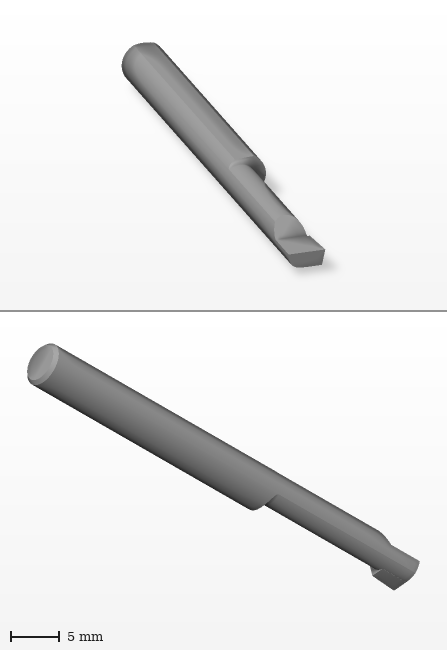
import cadquery as cq
import math

overall_length = 50.8
shank_diameter = 4.75
shank_radius = shank_diameter / 2
height_over_flat = 4.5
flat_z = height_over_flat - shank_radius
rear_chamfer = 0.4

shoulder_x = 30.75
neck_radius = 1.8
neck_center_y = -0.78
shoulder_fillet = 0.75

ramp_foot_x = 46.75
ramp_angle = 46
tip_start_x = 47.0
tip_start_y = 1.27
tip_corner_y = 1.6
end_skew_angle = 1
clearance_angle = 8

block_size = 4 * shank_diameter


def make_bar():
    """Full-length round bar with the rear chamfer and the top flat; it bounds every other feature."""
    bar = cq.Workplane("YZ").circle(shank_radius).extrude(overall_length)
    bar = bar.faces("<X").chamfer(rear_chamfer)
    above_flat = cq.Workplane("XY", origin=(0, 0, flat_z)).rect(2 * overall_length, shank_diameter)
    return bar.cut(above_flat.extrude(shank_radius))


def make_shank_envelope():
    """Oversize block covering the shank length; the round bar trims it."""
    block = cq.Workplane("YZ").rect(block_size, block_size)
    return block.extrude(shoulder_x)


def make_neck():
    """Neck cylinder with a concave blend that flares out to the shoulder."""
    blend_end_x = shoulder_x + shoulder_fillet
    blend_radius = neck_radius + shoulder_fillet
    arc_offset = shoulder_fillet * (1 - math.sqrt(0.5))
    return (
        cq.Workplane("XY", origin=(0, neck_center_y, 0))
        .moveTo(shoulder_x, 0)
        .lineTo(shoulder_x, blend_radius)
        .threePointArc((shoulder_x + arc_offset, neck_radius + arc_offset), (blend_end_x, neck_radius))
        .lineTo(overall_length, neck_radius)
        .lineTo(overall_length, 0)
        .close()
        .revolve(360, (0, 0, 0), (1, 0, 0))
    )


def make_tip():
    """Wedge widening towards the cutting corner, overlong in X so that the end cut finishes its nose."""
    flank_slope = (tip_corner_y - tip_start_y) / (overall_length - tip_start_x)
    overlong_x = overall_length + shank_radius
    overlong_y = tip_corner_y + flank_slope * shank_radius
    return (
        cq.Workplane("XY")
        .moveTo(tip_start_x, neck_center_y)
        .lineTo(tip_start_x, tip_start_y)
        .lineTo(overlong_x, overlong_y)
        .lineTo(overlong_x, neck_center_y)
        .close()
        .extrude(-neck_radius, taper=clearance_angle)
    )


def make_ramp_cut():
    """Material above the rake face, ending in a sloped ramp."""
    cut_height = shank_diameter
    ramp_run = cut_height / math.tan(math.radians(ramp_angle))
    return (
        cq.Workplane("XZ")
        .moveTo(ramp_foot_x, 0)
        .lineTo(overall_length, 0)
        .lineTo(overall_length, cut_height)
        .lineTo(ramp_foot_x - ramp_run, cut_height)
        .close()
        .extrude(shank_diameter, both=True)
    )


def make_end_cut():
    """Slice off the nose: skewed in plan and leaning back below the cutting edge."""
    nose = cq.Workplane("XY").box(block_size, block_size, block_size)
    nose = nose.translate((block_size / 2, 0, 0))
    nose = nose.rotate((0, 0, 0), (0, 1, 0), clearance_angle)
    nose = nose.rotate((0, 0, 0), (0, 0, 1), -end_skew_angle)
    return nose.translate((overall_length, tip_corner_y, 0))


body = make_shank_envelope().union(make_neck()).union(make_tip())
result = make_bar().intersect(body).cut(make_ramp_cut()).cut(make_end_cut())